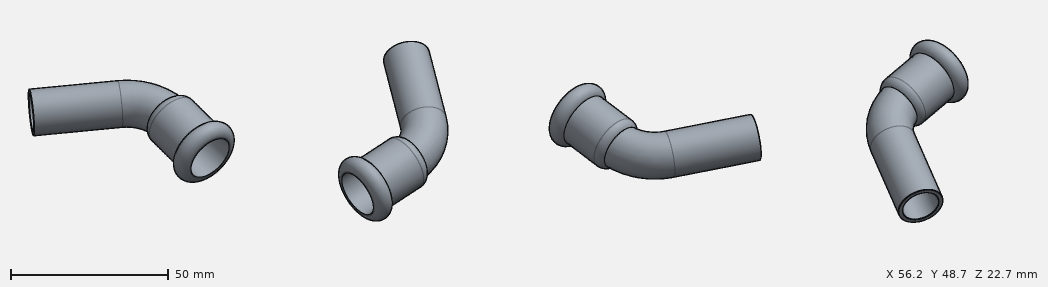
import cadquery as cq
import math

pipe_diameter = 15.0
pipe_bore = 12.0
pipe_length = 28.45
pipe_edge_chamfer = 0.15

bend_radius = 18.05
bend_angle = 60.0

socket_length = 19.95
socket_diameter = 18.3
socket_bore = 15.3
shoulder_radius = 3.4
bead_diameter = 22.7
bead_width = 6.6

socket_radius = socket_diameter / 2
bead_radius = bead_width / 2
bead_ring_radius = bead_diameter / 2 - bead_radius
bead_center_x = socket_length - bead_radius
bead_start_x = bead_center_x - math.sqrt(bead_radius**2 - (socket_radius - bead_ring_radius) ** 2)

angle = math.radians(bend_angle)
bend_end = (-bend_radius * math.sin(angle), -bend_radius * (1 - math.cos(angle)), 0)
pipe_direction = (-math.cos(angle), -math.sin(angle), 0)


def curved_bar(diameter):
    """Solid round bar swept along the bend."""
    half_angle = angle / 2
    bend_middle = (-bend_radius * math.sin(half_angle), -bend_radius * (1 - math.cos(half_angle)))
    path = cq.Workplane("XY").moveTo(0, 0).threePointArc(bend_middle, bend_end[:2])
    return cq.Workplane("YZ").circle(diameter / 2).sweep(path)


def straight_pipe():
    """Plain pipe with both edges of its free end chamfered."""
    base = cq.Plane(origin=bend_end, xDir=(0, 0, 1), normal=pipe_direction)
    pipe = cq.Workplane(base).circle(pipe_diameter / 2).circle(pipe_bore / 2).extrude(pipe_length)
    free_end = cq.selectors.DirectionMinMaxSelector(cq.Vector(*pipe_direction))
    return pipe.faces(free_end).chamfer(pipe_edge_chamfer)


def socket_body():
    """Socket with a rounded shoulder and a round bead at its mouth."""
    return (
        cq.Workplane("XY")
        .moveTo(-shoulder_radius, 0)
        .lineTo(-shoulder_radius, socket_radius - shoulder_radius)
        .radiusArc((0, socket_radius), shoulder_radius)
        .lineTo(bead_start_x, socket_radius)
        .threePointArc((bead_center_x, bead_diameter / 2), (socket_length, bead_ring_radius))
        .lineTo(socket_length, 0)
        .close()
        .revolve(360, (0, 0, 0), (1, 0, 0))
    )


socket_hole = cq.Workplane("YZ").circle(socket_bore / 2).extrude(socket_length)

elbow = curved_bar(pipe_diameter).union(socket_body())
elbow = elbow.cut(curved_bar(pipe_bore)).cut(socket_hole)
result = elbow.union(straight_pipe())